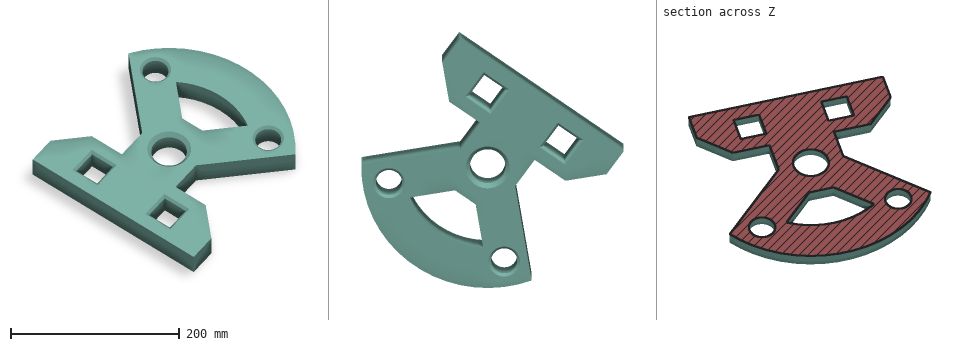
import cadquery as cq
import math

thickness = 30.0
pivot_y = 110.0

foot_half_width = 119.9
foot_height = 70.0
foot_corner_cut = 35.0
neck_half_width = 40.0

sector_radius = 150.0
tip_half_width = 124.15
tip_y = pivot_y + math.sqrt(sector_radius**2 - tip_half_width**2)

window_radius = 99.8
window_half_width = 53.5
window_bottom_rise = 45.8
window_top_rise = math.sqrt(window_radius**2 - window_half_width**2)
window_bottom_half = window_half_width - (window_top_rise - window_bottom_rise)

pivot_diameter = 42.0
pivot_chamfer = 5.0
head_hole_diameter = 31.0
head_hole_offset = 84.0
square_size = 31.0
square_offset = 54.0
square_y = foot_height / 2
small_chamfer = 3.0


def make_plate():
    """Extrude the foot, neck and sector outline."""
    foot_top_half = foot_half_width - foot_corner_cut
    right_side = [
        (foot_half_width, 0),
        (foot_half_width, foot_height - foot_corner_cut),
        (foot_top_half, foot_height),
        (neck_half_width, foot_height),
        (neck_half_width, pivot_y),
        (tip_half_width, tip_y),
    ]
    left_side = [(-x, y) for x, y in reversed(right_side)]
    return (
        cq.Workplane("XY")
        .polyline(right_side)
        .threePointArc((0, pivot_y + sector_radius), left_side[0])
        .polyline(left_side[1:], includeCurrent=True)
        .close()
        .extrude(thickness)
    )


def make_window():
    """Through window with sloping sides and an arc concentric with the pivot."""
    return (
        cq.Workplane("XY")
        .moveTo(-window_bottom_half, pivot_y + window_bottom_rise)
        .lineTo(window_bottom_half, pivot_y + window_bottom_rise)
        .lineTo(window_half_width, pivot_y + window_top_rise)
        .threePointArc(
            (0, pivot_y + window_radius),
            (-window_half_width, pivot_y + window_top_rise),
        )
        .close()
        .extrude(thickness)
    )


def round_opening(x, y, diameter, chamfer):
    """Through hole with a countersink at both rims."""
    opening = cq.Workplane("XY").center(x, y).circle(diameter / 2).extrude(thickness)
    for face_z, inward in ((0, 1), (thickness, -1)):
        countersink = (
            cq.Workplane("XY", origin=(x, y, face_z))
            .circle(diameter / 2 + chamfer)
            .workplane(offset=inward * chamfer)
            .circle(diameter / 2)
            .loft(ruled=True)
        )
        opening = opening.union(countersink)
    return opening


def square_opening(x, y, size, chamfer):
    """Square through hole with a bevel around both rims."""
    rim_size = size + 2 * chamfer
    opening = cq.Workplane("XY").center(x, y).rect(size, size).extrude(thickness)
    for face_z, inward in ((0, 1), (thickness, -1)):
        bevel = (
            cq.Workplane("XY", origin=(x, y, face_z))
            .rect(rim_size, rim_size)
            .workplane(offset=inward * chamfer)
            .rect(size, size)
            .loft(ruled=True)
        )
        opening = opening.union(bevel)
    return opening


result = make_plate().cut(make_window())
result = result.cut(round_opening(0, pivot_y, pivot_diameter, pivot_chamfer))
for side in (-1, 1):
    result = result.cut(
        round_opening(
            side * head_hole_offset,
            pivot_y + head_hole_offset,
            head_hole_diameter,
            small_chamfer,
        )
    )
    result = result.cut(square_opening(side * square_offset, square_y, square_size, small_chamfer))